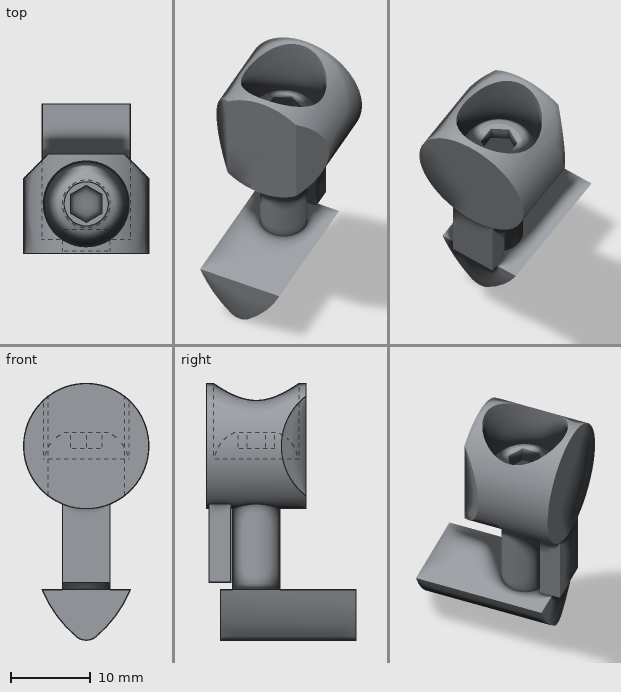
import cadquery as cq
import math

total_height = 32.15

body_radius = 7.85
body_half_length = 6.25
body_center_z = total_height - body_radius
body_chamfer = 3.1

counterbore_radius = 5.37
seat_z = 22.65
shank_radius = 3.0
head_radius = 5.25
head_height = 3.3
head_rim_height = 0.2
head_flat_radius = 2.75
dome_mid_radius = 4.37
dome_mid_height = 2.1
hex_across_flats = 4.0
hex_depth = 2.0

tab_half_width = 2.95
tab_front_y = -5.9
tab_back_y = -3.18
tab_bottom_z = 7.23

nut_height = 6.33
nut_half_width = 5.53
nut_front_y = -4.47
nut_back_y = 12.5
flank_mid_x = 3.7
flank_mid_z = 3.1
tip_half_width = 1.15
tip_height = 0.4


def make_body():
    """Cylinder with two vertical chamfer planes at its rear and a top counterbore."""
    outline = (
        cq.Workplane("XY")
        .moveTo(-body_radius, -body_half_length)
        .lineTo(body_radius, -body_half_length)
        .lineTo(body_radius, body_half_length - body_chamfer)
        .lineTo(body_radius - body_chamfer, body_half_length)
        .lineTo(body_chamfer - body_radius, body_half_length)
        .lineTo(-body_radius, body_half_length - body_chamfer)
        .close()
        .extrude(total_height)
    )
    cylinder = (
        cq.Workplane("XZ")
        .center(0, body_center_z)
        .circle(body_radius)
        .extrude(body_half_length, both=True)
    )
    counterbore = (
        cq.Workplane("XY")
        .workplane(offset=seat_z)
        .circle(counterbore_radius)
        .extrude(total_height - seat_z)
    )
    return cylinder.intersect(outline).cut(counterbore)


def make_screw():
    """Shank and domed head, with a hexagon socket whose corners point along Y."""
    head_top_z = seat_z + head_height
    solid = (
        cq.Workplane("XZ")
        .moveTo(0, nut_height)
        .lineTo(shank_radius, nut_height)
        .lineTo(shank_radius, seat_z)
        .lineTo(head_radius, seat_z)
        .lineTo(head_radius, seat_z + head_rim_height)
        .threePointArc((dome_mid_radius, seat_z + dome_mid_height), (head_flat_radius, head_top_z))
        .lineTo(0, head_top_z)
        .close()
        .revolve(360, (0, 0, 0), (0, 1, 0))
    )
    hex_across_corners = hex_across_flats / math.cos(math.radians(30))
    socket = (
        cq.Workplane("XY")
        .workplane(offset=head_top_z)
        .transformed(rotate=(0, 0, 90))
        .polygon(6, hex_across_corners)
        .extrude(-hex_depth)
    )
    return solid.cut(socket)


def make_tab():
    """Flat tab whose top is buried in the body, below the counterbore floor."""
    return cq.Workplane("XY").box(
        2 * tab_half_width,
        tab_back_y - tab_front_y,
        seat_z - tab_bottom_z,
        centered=(True, False, False),
    ).translate((0, tab_front_y, tab_bottom_z))


def make_nut():
    """Flat-topped prism with bowed flanks and a rounded tip."""
    return (
        cq.Workplane("XZ", origin=(0, nut_back_y, 0))
        .moveTo(-nut_half_width, nut_height)
        .threePointArc((-flank_mid_x, flank_mid_z), (-tip_half_width, tip_height))
        .threePointArc((0, 0), (tip_half_width, tip_height))
        .threePointArc((flank_mid_x, flank_mid_z), (nut_half_width, nut_height))
        .close()
        .extrude(nut_back_y - nut_front_y)
    )


result = make_body().union(make_tab()).union(make_nut()).union(make_screw())